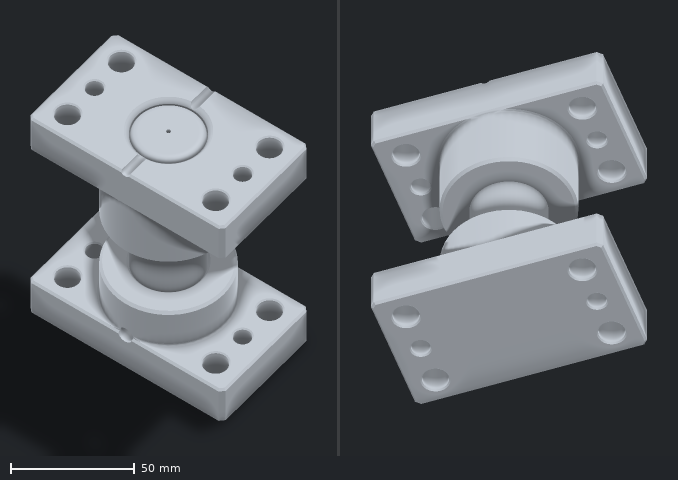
import cadquery as cq
import math

plate_length = 100.0
plate_width = 58.0
plate_thickness = 20.0
plate_corner_chamfer = 2.0
plate_edge_chamfer = 1.0

total_height = 120.5
lower_collar_height = plate_thickness
upper_collar_height = 30.0
collar_radius = 28.2
collar_edge_chamfer = 1.2
collar_root_fillet = 1.0

pin_radius = 16.1
pin_tip_radius = 15.8
pin_tip_length = 5.0
pin_end_round = 3.3
pin_recess = 0.5
centre_hole_radius = 1.02
centre_hole_depth = 2 * centre_hole_radius

lower_mouth_chamfer = 1.0
upper_mouth_chamfer = 2.0

hole_offset_x = 38.0
bolt_offset_y = 18.0
bolt_hole_radius = 5.5
dowel_hole_radius = 4.0
hole_chamfer = 0.6

side_hole_radius = 3.5
groove_radius = 2.2
groove_depth = 1.9


def chamfered_plate():
    """Plate standing on the XY plane with chamfered corners and edges."""
    plate = cq.Workplane("XY").box(plate_length, plate_width, plate_thickness, centered=(True, True, False))
    return plate.edges("|Z").chamfer(plate_corner_chamfer).faces("<Z or >Z").edges().chamfer(plate_edge_chamfer)


def collar(height):
    """Collar standing on the plate, with its free outer edge chamfered."""
    cylinder = cq.Workplane("XY").workplane(offset=plate_thickness).circle(collar_radius).extrude(height)
    return cylinder.faces(">Z").edges().chamfer(collar_edge_chamfer)


def root_fillet():
    """Concave ring between collar and plate, ending where the flat face of the plate ends."""
    overlap = 1.2
    inner = collar_radius - overlap
    outer = collar_radius + collar_root_fillet
    top = plate_thickness + collar_root_fillet
    bulge = collar_root_fillet * (1 - math.sqrt(0.5))
    ring = (
        cq.Workplane("XZ")
        .moveTo(inner, plate_thickness)
        .lineTo(outer, plate_thickness)
        .threePointArc((collar_radius + bulge, plate_thickness + bulge), (collar_radius, top))
        .lineTo(inner, top)
        .close()
        .revolve(360, (0, 0, 0), (0, 1, 0))
    )
    flat_width = plate_width - 2 * plate_edge_chamfer
    flat_zone = cq.Workplane("XY").box(plate_length, flat_width, total_height)
    return ring.intersect(flat_zone)


def countersink(radius, chamfer, z, direction):
    """Conical cutter widening a hole at height z; direction is +1 for a face that looks up."""
    return (
        cq.Workplane("XZ")
        .moveTo(0, z)
        .lineTo(radius + chamfer, z)
        .lineTo(radius, z - direction * chamfer)
        .lineTo(0, z - direction * chamfer)
        .close()
        .revolve(360, (0, 0, 0), (0, 1, 0))
    )


def fixing_hole(radius):
    """Cutter for a through hole in the plate, chamfered on both faces."""
    bore = cq.Workplane("XY").circle(radius).extrude(plate_thickness)
    upper_cone = countersink(radius, hole_chamfer, plate_thickness, 1)
    lower_cone = countersink(radius, hole_chamfer, 0, -1)
    return bore.union(upper_cone).union(lower_cone)


def flanged_collar(height):
    """Plate and collar in one piece, with fixing holes and the bore for the pin."""
    body = chamfered_plate().union(collar(height)).union(root_fillet())
    bore = cq.Workplane("XY").circle(pin_radius).extrude(plate_thickness + height)
    body = body.cut(bore)
    for x in (-hole_offset_x, hole_offset_x):
        body = body.cut(fixing_hole(dowel_hole_radius).translate((x, 0, 0)))
        for y in (-bolt_offset_y, bolt_offset_y):
            body = body.cut(fixing_hole(bolt_hole_radius).translate((x, y, 0)))
    return body


def make_lower_flange():
    """Lower flange with a chamfered bore mouth and a side hole from the -Y side to the bore."""
    mouth_height = plate_thickness + lower_collar_height
    mouth = countersink(pin_radius, lower_mouth_chamfer, mouth_height, 1)
    side_hole = (
        cq.Workplane("XZ")
        .center(0, plate_thickness)
        .circle(side_hole_radius)
        .extrude(plate_width / 2)
    )
    return flanged_collar(lower_collar_height).cut(mouth).cut(side_hole)


def make_upper_flange():
    """Upper flange, collar down, with a chamfered bore mouth and grooves across its top face."""
    flange = flanged_collar(upper_collar_height).rotate((0, 0, 0), (1, 0, 0), 180)
    flange = flange.translate((0, 0, total_height))
    mouth = countersink(pin_radius, upper_mouth_chamfer, total_height, 1)
    groove = (
        cq.Workplane("XZ")
        .center(0, total_height - groove_depth + groove_radius)
        .circle(groove_radius)
        .extrude(plate_width / 2, both=True)
    )
    return flange.cut(mouth).cut(groove)


def make_pin():
    """Pin through both flanges, with a slimmer rounded tip and a small blind centre hole."""
    pin_height = total_height - pin_recess
    shank = cq.Workplane("XY").circle(pin_radius).extrude(pin_height - pin_tip_length)
    tip = shank.faces(">Z").workplane().circle(pin_tip_radius).extrude(pin_tip_length, combine=False)
    tip = tip.faces(">Z").edges().fillet(pin_end_round)
    centre_hole = (
        cq.Workplane("XY")
        .workplane(offset=pin_height - centre_hole_depth)
        .circle(centre_hole_radius)
        .extrude(centre_hole_depth)
    )
    return shank.union(tip).cut(centre_hole)


lower_flange = make_lower_flange()
upper_flange = make_upper_flange()
pin = make_pin()

result = cq.Compound.makeCompound([lower_flange.val(), upper_flange.val(), pin.val()])